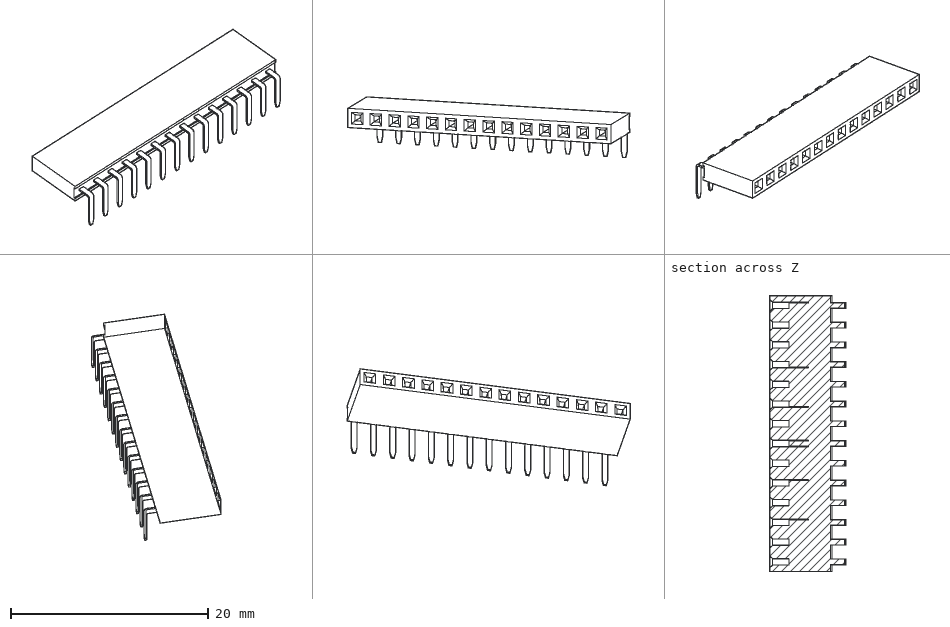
import cadquery as cq

pin_count = 14
housing_length = 28.0
pitch = housing_length / pin_count
housing_height = pitch
housing_depth = 6.33

channel_depth = 0.15
channel_lip = 0.35

overall_depth = 7.73
overall_height = 4.9
pin_width = 0.6
pin_thickness = 0.2
bend_inner_radius = 0.1
bend_outer_radius = bend_inner_radius + pin_thickness
tip_length = 0.62
tip_width = 0.3

mouth_size = 1.2
socket_size = 0.62
mouth_depth = 0.3
socket_depth = 3.92
contact_start = 1.95

mid_height = housing_height / 2
channel_floor = housing_depth - channel_depth
pin_tip_z = housing_height - overall_height
pin_positions = [(i - (pin_count - 1) / 2) * pitch for i in range(pin_count)]


def make_housing():
    """Rectangular bar with a full-length channel in its back face."""
    bar = cq.Workplane("XY").box(
        housing_depth, housing_length, housing_height, centered=(False, True, False)
    )
    channel = cq.Workplane("XY").box(
        channel_depth, housing_length, housing_height - 2 * channel_lip, centered=(False, True, True)
    )
    return bar.cut(channel.translate((channel_floor, 0, mid_height)))


def make_socket():
    """Cutter for one socket: a funnel leading into a square blind hole."""
    funnel = (
        cq.Workplane("YZ", origin=(0, 0, mid_height))
        .rect(mouth_size, mouth_size)
        .workplane(offset=mouth_depth)
        .rect(socket_size, socket_size)
        .loft()
    )
    hole = (
        cq.Workplane("YZ", origin=(0, 0, mid_height))
        .rect(socket_size, socket_size)
        .extrude(socket_depth)
    )
    return funnel.union(hole)


def make_pin():
    """Flat strip running back from the socket, bent down and tapered at its tip."""
    top = mid_height + pin_thickness / 2
    outer_x = overall_depth
    strip = (
        cq.Workplane("XZ")
        .moveTo(contact_start, top)
        .lineTo(outer_x - bend_outer_radius, top)
        .radiusArc((outer_x, top - bend_outer_radius), bend_outer_radius)
        .lineTo(outer_x, pin_tip_z)
        .lineTo(outer_x - pin_thickness, pin_tip_z)
        .lineTo(outer_x - pin_thickness, top - bend_outer_radius)
        .radiusArc((outer_x - bend_outer_radius, top - pin_thickness), -bend_inner_radius)
        .lineTo(contact_start, top - pin_thickness)
        .close()
        .extrude(pin_width / 2, both=True)
    )
    taper_z = pin_tip_z + tip_length
    silhouette = (
        cq.Workplane("YZ")
        .moveTo(-pin_width / 2, housing_height)
        .lineTo(-pin_width / 2, taper_z)
        .lineTo(-tip_width / 2, pin_tip_z)
        .lineTo(tip_width / 2, pin_tip_z)
        .lineTo(pin_width / 2, taper_z)
        .lineTo(pin_width / 2, housing_height)
        .close()
        .extrude(overall_depth)
    )
    return strip.intersect(silhouette)


result = make_housing()
socket = make_socket()
pin = make_pin()
for y in pin_positions:
    result = result.cut(socket.translate((0, y, 0)))
    result = result.union(pin.translate((0, y, 0)))